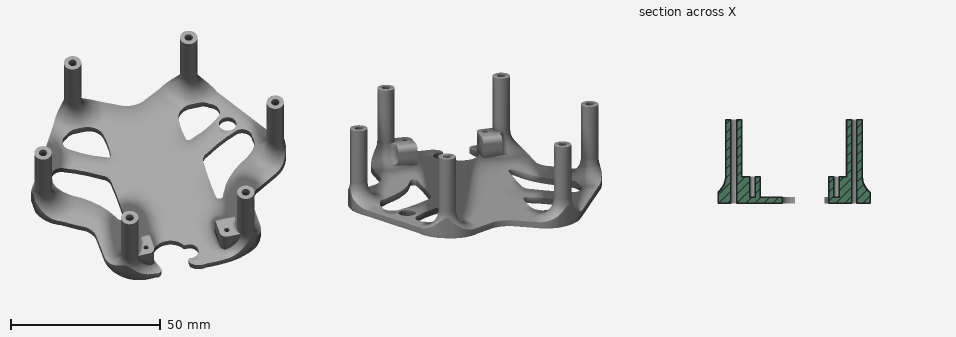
import cadquery as cq
import math

plate_thickness = 2.1
total_height = 28.0

post_count = 6
post_circle_radius = 40.4
post_start_angle = 30.25
post_diameter = 5.8
post_hole_diameter = 2.8
flare_radius = 7.0

round_hole_diameter = 5.8
round_hole_center = (-16.05, 28.25)

block_left = 27.7
block_right = 36.7
block_inner_y = 11.4
block_outer_y = 18.2
block_edge_radius = 2.1
block_corner_radius = 2.3
block_blend_radius = 1.8
screw_hole_diameter = 1.75
screw_hole_center = (33.8, 14.0)

post_radius = post_diameter / 2
flare_outer_radius = post_radius + flare_radius
flare_top = plate_thickness + flare_radius
block_top = flare_top
post_angles = [post_start_angle + i * 360 / post_count for i in range(post_count)]
post_centers = [
    (
        post_circle_radius * math.cos(math.radians(angle)),
        post_circle_radius * math.sin(math.radians(angle)),
    )
    for angle in post_angles
]


def closed_profile(start, segments):
    """Join line segments (one point) and arcs (middle point, end point)."""
    profile = cq.Workplane("XY").moveTo(*start)
    for segment in segments:
        if len(segment) == 1:
            profile = profile.lineTo(*segment[0])
        else:
            profile = profile.threePointArc(*segment)
    return profile.close()


def plate_outline():
    """Six-lobed outline, clockwise from the upper left lobe, with the open notch at +X."""
    start = (-30.35, 28.7)
    segments = [
        [(-9.6, 40.5)],
        [(-6.5, 42.3), (-3.3, 43.6)],
        [(1.6, 43.6)],
        [(6.2, 41.25), (9.25, 37.6)],
        [(13.1, 31.4)],
        [(15.7, 28.25), (19.3, 26.95)],
        [(29.5, 26.95)],
        [(33.4, 25.8), (36.7, 23.2)],
        [(39.3, 17.6), (40.4, 11.7)],
        [(40.55, 8.7), (40.5, 5.15)],
        [(40.1, 1.5), (38.8, -0.2)],
        [(36.8, -0.2)],
        [(36.8, 1.2)],
        [(33.8, 4.1), (30.9, 1.2)],
        [(30.9, 0.0)],
        [(27.5, -5.1), (34.45, -11.3)],
        [(36.4, -10.7), (38.4, -10.1)],
        [(39.7, -10.5), (40.1, -12.3)],
        [(40.2, -14.2)],
        [(39.0, -20.15), (35.4, -24.4)],
        [(31.75, -26.4), (27.6, -27.0)],
        [(18.3, -27.2)],
        [(15.35, -28.7), (13.4, -31.3)],
        [(9.7, -36.9)],
        [(6.5, -41.2), (1.9, -43.6)],
        [(-3.3, -43.6)],
        [(-6.6, -42.3), (-9.6, -40.55)],
        [(-29.65, -29.0)],
        [(-33.6, -26.7)],
        [(-37.85, -21.45), (-39.0, -17.5)],
        [(-38.7, -14.2), (-37.15, -10.6)],
        [(-33.05, -3.4)],
        [(-32.35, 0.0), (-33.05, 3.5)],
        [(-36.8, 10.2)],
        [(-39.0, 15.6), (-38.3, 20.2)],
        [(-35.5, 25.4), (-30.35, 28.7)],
    ]
    return closed_profile(start, segments)


def small_window():
    """Teardrop opening beside the upper left post."""
    start = (-27.3, 22.2)
    segments = [
        [(-27.3, 17.6)],
        [(-26.2, 15.0), (-22.8, 13.1)],
        [(-17.8, 12.7), (-13.3, 13.1)],
        [(-12.9, 13.4), (-13.0, 14.65)],
        [(-16.05, 20.8), (-20.1, 26.25)],
        [(-22.4, 27.2), (-26.0, 24.85)],
        [(-26.95, 23.55), (-27.3, 22.2)],
    ]
    return closed_profile(start, segments)


def large_window():
    """Curved opening between the top lobe and the plate centre."""
    start = (-12.6, 30.4)
    segments = [
        [(-11.8, 33.7), (-8.6, 34.7)],
        [(-4.6, 34.4), (-1.75, 32.2)],
        [(-0.1, 30.3)],
        [(4.4, 24.5), (9.4, 20.4)],
        [(13.4, 18.4)],
        [(14.5, 16.9), (13.4, 16.0)],
        [(5.15, 15.8), (-2.7, 16.05)],
        [(-4.4, 16.7), (-5.7, 18.2)],
        [(-9.7, 24.5), (-12.6, 30.4)],
    ]
    return closed_profile(start, segments)


def flare(center):
    """Trumpet-shaped foot that blends a post into the plate."""
    arc_offset = flare_radius * math.sqrt(0.5)
    return (
        cq.Workplane("XZ")
        .lineTo(flare_outer_radius, 0)
        .lineTo(flare_outer_radius, plate_thickness)
        .threePointArc(
            (flare_outer_radius - arc_offset, flare_top - arc_offset),
            (post_radius, flare_top),
        )
        .lineTo(0, flare_top)
        .close()
        .revolve(360, (0, 0, 0), (0, 1, 0))
        .translate((*center, 0))
    )


def screw_block():
    """Block with a rounded top edge and one rounded corner, on the +Y half of the plate."""
    return (
        cq.Workplane("XY")
        .box(block_right - block_left, block_outer_y - block_inner_y, block_top, centered=False)
        .translate((block_left, block_inner_y, 0))
        .edges("|Y and <X and >Z")
        .fillet(block_edge_radius)
        .edges("|Z and >X and <Y")
        .fillet(block_corner_radius)
    )


def flare_with_block(center):
    """Flare joined to the screw block, blended along the block's outer wall."""
    joined = flare(center).union(screw_block())
    margin = 0.1
    wall_curve = cq.selectors.BoxSelector(
        (block_left - margin, block_outer_y - margin, plate_thickness),
        (center[0], block_outer_y + margin, flare_top + margin),
        boundingbox=True,
    )
    return joined.edges(wall_curve).edges("%BSPLINE").fillet(block_blend_radius)


def full_height(profile):
    """Extrude a profile through the whole height of the part."""
    return profile.extrude(total_height)


trim = full_height(plate_outline())
body = plate_outline().extrude(plate_thickness)
upper_block_center = post_centers[0]
lower_block_center = post_centers[-1]
feet = [flare(center) for center in post_centers[1:-1]]
feet.append(flare_with_block(upper_block_center))
feet.append(flare_with_block((lower_block_center[0], -lower_block_center[1])).mirror("XZ"))
for foot in feet:
    body = body.union(foot.intersect(trim))

for window in (small_window(), large_window()):
    cutter = full_height(window)
    body = body.cut(cutter).cut(cutter.mirror("XZ"))
round_hole = cq.Workplane("XY").center(*round_hole_center).circle(round_hole_diameter / 2)
body = body.cut(full_height(round_hole))

screw_hole = (
    cq.Workplane("XY", origin=(*screw_hole_center, plate_thickness))
    .circle(screw_hole_diameter / 2)
    .extrude(block_top)
)
body = body.cut(screw_hole).cut(screw_hole.mirror("XZ"))

post_layout = cq.Workplane("XY").pushPoints(post_centers)
posts = full_height(post_layout.circle(post_radius))
post_holes = full_height(post_layout.circle(post_hole_diameter / 2))
result = body.union(posts).cut(post_holes)